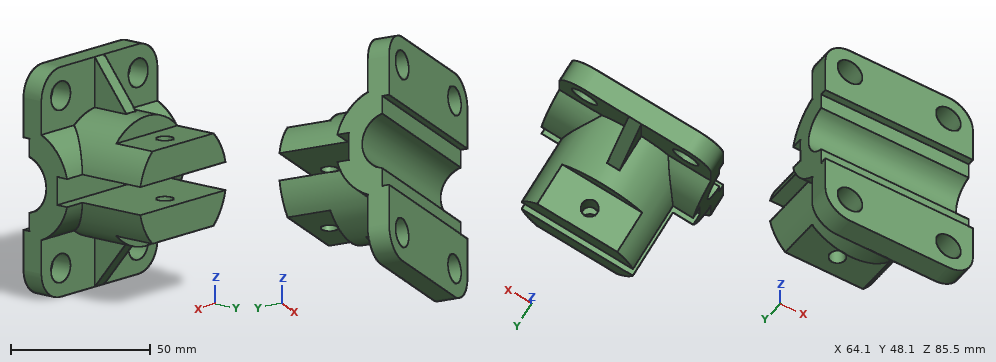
import cadquery as cq

plate_width = 64.1
plate_height = 85.5
plate_thickness = 8.55
corner_radius = 10.7
bolt_hole_diameter = 10.8
bolt_inset = corner_radius

housing_radius = 21.4
bore_radius = 10.8
recess_height = 34.4
recess_depth = 2.7

boss_radius = 24.1
clevis_end = 48.1
flat_start = 31.0
flat_height = 34.4
slot_height = 10.4
slot_start = 16.1
pin_hole_diameter = 6.4
pin_hole_position = 39.6

rib_thickness = 5.3
rib_top = 23.5


def y_block(width, height, start, end):
    """Block centred on X and Z, reaching from start to end along Y."""
    return cq.Workplane("XY").box(width, end - start, height).translate((0, (start + end) / 2, 0))


def x_cylinder(radius):
    """Cylinder on the X axis, as long as the plate is wide."""
    return cq.Workplane("YZ").circle(radius).extrude(plate_width / 2, both=True)


def make_plate():
    plate = y_block(plate_width, plate_height, 0, plate_thickness)
    return plate.edges("|Y").fillet(corner_radius)


def make_housing():
    rear_half = y_block(plate_width, 2 * housing_radius, 0, housing_radius)
    return x_cylinder(housing_radius).intersect(rear_half)


def make_boss():
    boss = cq.Workplane("XZ").circle(boss_radius).extrude(-clevis_end)
    base = y_block(2 * boss_radius, 2 * boss_radius, 0, flat_start)
    jaws = y_block(2 * boss_radius, flat_height, flat_start, clevis_end)
    return boss.intersect(base.union(jaws))


def make_ribs():
    half_height = plate_height / 2
    profile = [
        (plate_thickness, half_height),
        (rib_top, boss_radius),
        (rib_top, -boss_radius),
        (plate_thickness, -half_height),
    ]
    return cq.Workplane("YZ").polyline(profile).close().extrude(rib_thickness / 2, both=True)


def make_bolt_holes():
    spacing_x = plate_width - 2 * bolt_inset
    spacing_z = plate_height - 2 * bolt_inset
    holes = cq.Workplane("XZ").rarray(spacing_x, spacing_z, 2, 2)
    return holes.circle(bolt_hole_diameter / 2).extrude(-plate_thickness)


def make_pin_hole():
    hole = cq.Workplane("XY").center(0, pin_hole_position).circle(pin_hole_diameter / 2)
    return hole.extrude(flat_height, both=True)


recess = y_block(plate_width, recess_height, 0, recess_depth)
slot = y_block(plate_width, slot_height, slot_start, clevis_end)

result = make_plate().union(make_housing()).union(make_boss()).union(make_ribs())
result = result.cut(recess).cut(x_cylinder(bore_radius)).cut(slot)
result = result.cut(make_bolt_holes()).cut(make_pin_hole())